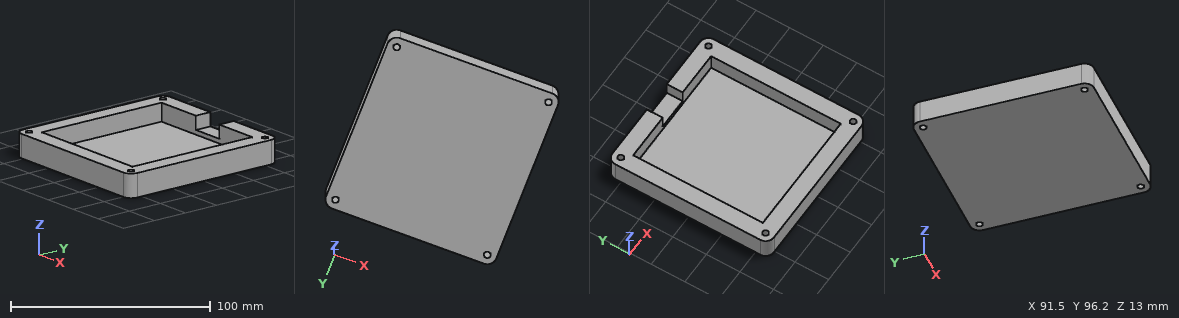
import cadquery as cq

width = 91.5
length = 96.2
height = 13.0
corner_radius = 5.0

wall = 9.5
floor_thickness = 3.0
pocket_width = width - 2 * wall
pocket_length = length - 2 * wall

notch_width = 18.5
notch_center_x = 0.5
notch_depth = 7.5

hole_diameter = 3.4


def make_block():
    block = cq.Workplane("XY").box(width, length, height, centered=(True, True, False))
    return block.edges("|Z").fillet(corner_radius)


def make_pocket():
    return (
        cq.Workplane("XY")
        .workplane(offset=floor_thickness)
        .rect(pocket_width, pocket_length)
        .extrude(height - floor_thickness)
    )


def make_notch():
    return (
        cq.Workplane("XY")
        .workplane(offset=height - notch_depth)
        .center(notch_center_x, (length - wall) / 2)
        .rect(notch_width, wall)
        .extrude(notch_depth)
    )


def make_screw_holes():
    spacing_x = width - 2 * corner_radius
    spacing_y = length - 2 * corner_radius
    return (
        cq.Workplane("XY")
        .rect(spacing_x, spacing_y, forConstruction=True)
        .vertices()
        .circle(hole_diameter / 2)
        .extrude(height)
    )


result = make_block().cut(make_pocket()).cut(make_notch()).cut(make_screw_holes())